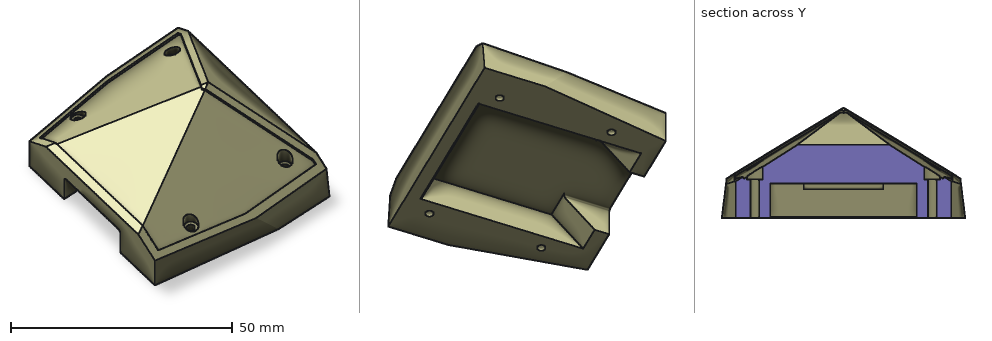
import cadquery as cq

WIDTH = 55.1
LENGTH = 46.9
HEIGHT = 25.0
FRONT_WIDTH = 44.75
KINK_Y = 32.0
BACK_HALF_TOP = 26.45
BACK_SIDE_HEIGHT = 9.0

APEX = cq.Vector(0, 34.0, HEIGHT)
FRONT_EAVE_Z = 12.75
FRONT_EAVE_HALF = 16.5
BACK_EAVE_Z = 11.25
BACK_EAVE_HALF = 22.85

RECESS_DEPTH = 0.5
RECESS_FRONT = 2.05
RECESS_BACK = 1.55
RECESS_BACK_SHIFT = 1.95
FRONT_RIM_WIDTH = 1.9
REAR_RIM_WIDTH = 2.2

HOLE_X = 20.05
HOLE_YS = (12.4, 39.95)
HOLE_D = 1.9
COUNTERBORE_D = 3.5
COUNTERBORE_FLOOR = 8.8

SLOT_WIDTH = 19.95
SLOT_HEIGHT = 7.8
SLOT_FILLET = 0.9
CAVITY_WIDTH = 33.05
WALL = 3.6
REAR_CHAMFER = 0.4
NOTCH_WIDTH = 17.95
NOTCH_HEIGHT = 1.2
NOTCH_DEPTH = 1.1

BIG = 4 * WIDTH


def remove_outside(solid, point, normal):
    """Cut away everything on the normal side of a plane."""
    cutter = cq.Workplane(cq.Plane(origin=point, normal=normal)).rect(BIG, BIG).extrude(BIG)
    return solid.cut(cutter)


def plane_normal(a, b, c):
    """Unit normal of the plane through three points, pointing up."""
    normal = (b - a).cross(c - a).normalized()
    return normal if normal.z > 0 else normal * -1


def mirrored(normal):
    return cq.Vector(-normal.x, normal.y, normal.z)


front_eave = cq.Vector(FRONT_EAVE_HALF, 0, FRONT_EAVE_Z)
back_eave = cq.Vector(BACK_EAVE_HALF, LENGTH, BACK_EAVE_Z)
front_normal = plane_normal(APEX, front_eave, front_eave - cq.Vector(WIDTH, 0, 0))
back_normal = plane_normal(APEX, back_eave, back_eave - cq.Vector(WIDTH, 0, 0))
side_normal = plane_normal(APEX, front_eave, back_eave)
rear_side_normal = cq.Vector(BACK_SIDE_HEIGHT, 0, WIDTH / 2 - BACK_HALF_TOP).normalized()
front_side_normal = cq.Vector(KINK_Y, (FRONT_WIDTH - WIDTH) / 2, 0).normalized()


def make_body():
    outline = [
        (-FRONT_WIDTH / 2, 0),
        (FRONT_WIDTH / 2, 0),
        (WIDTH / 2, KINK_Y),
        (WIDTH / 2, LENGTH),
        (-WIDTH / 2, LENGTH),
        (-WIDTH / 2, KINK_Y),
    ]
    body = cq.Workplane("XY").polyline(outline).close().extrude(HEIGHT)
    for side in (1, -1):
        lean = rear_side_normal if side == 1 else mirrored(rear_side_normal)
        body = remove_outside(body, (side * WIDTH / 2, 0, 0), lean)
        body = remove_outside(body, APEX, side_normal if side == 1 else mirrored(side_normal))
    body = remove_outside(body, APEX, front_normal)
    return remove_outside(body, APEX, back_normal)


def make_half_recess():
    """Material to remove on the +X half, bounded below by the lowered roof."""
    half = cq.Workplane("XY").box(WIDTH, LENGTH - RECESS_BACK, HEIGHT, centered=False)
    half = remove_outside(half, (0, RECESS_FRONT, 0), (0, -1, 0))
    ridge = cq.Vector(APEX.y - LENGTH, BACK_EAVE_HALF, 0)
    half = remove_outside(half, (0, APEX.y - RECESS_BACK_SHIFT, 0), ridge)

    for wall_normal, wall_point, rim_width in (
        (rear_side_normal, cq.Vector(WIDTH / 2, 0, 0), REAR_RIM_WIDTH),
        (front_side_normal, cq.Vector(FRONT_WIDTH / 2, 0, 0), FRONT_RIM_WIDTH),
    ):
        edge = side_normal.cross(wall_normal)
        outward = edge.cross(side_normal).normalized()
        rim_distance = wall_normal.dot(wall_point - APEX) / wall_normal.dot(outward)
        half = remove_outside(half, APEX + outward * (rim_distance - rim_width), outward)

    floor = cq.Workplane("XY").box(BIG, BIG, HEIGHT, centered=(True, True, False))
    for normal in (front_normal, side_normal):
        floor = remove_outside(floor, APEX - normal * RECESS_DEPTH, normal)
    return half.cut(floor)


def make_screw_holes():
    centres = [(side * HOLE_X, y) for side in (1, -1) for y in HOLE_YS]
    through = cq.Workplane("XY").pushPoints(centres).circle(HOLE_D / 2).extrude(HEIGHT)
    heads = cq.Workplane("XY").workplane(offset=COUNTERBORE_FLOOR)
    return through.union(heads.pushPoints(centres).circle(COUNTERBORE_D / 2).extrude(HEIGHT))


def make_hollow():
    rear = LENGTH - WALL
    ceiling_start = WALL + SLOT_HEIGHT
    slot = cq.Workplane("XY").box(SLOT_WIDTH, ceiling_start, SLOT_HEIGHT, centered=(True, False, False))
    slot = slot.edges("|Y and >Z").fillet(SLOT_FILLET)
    profile = [
        (WALL, 0),
        (ceiling_start, SLOT_HEIGHT),
        (rear, SLOT_HEIGHT),
        (rear, REAR_CHAMFER),
        (rear + REAR_CHAMFER, 0),
    ]
    cavity = cq.Workplane("YZ").polyline(profile).close().extrude(CAVITY_WIDTH / 2, both=True)
    notch = cq.Workplane("XY").box(NOTCH_WIDTH, NOTCH_DEPTH, NOTCH_HEIGHT, centered=(True, False, False))
    notch = notch.translate((0, rear, SLOT_HEIGHT - NOTCH_HEIGHT))
    return slot.union(cavity).union(notch)


half_recess = make_half_recess()
result = (
    make_body()
    .cut(half_recess)
    .cut(half_recess.mirror("YZ"))
    .cut(make_screw_holes())
    .cut(make_hollow())
)